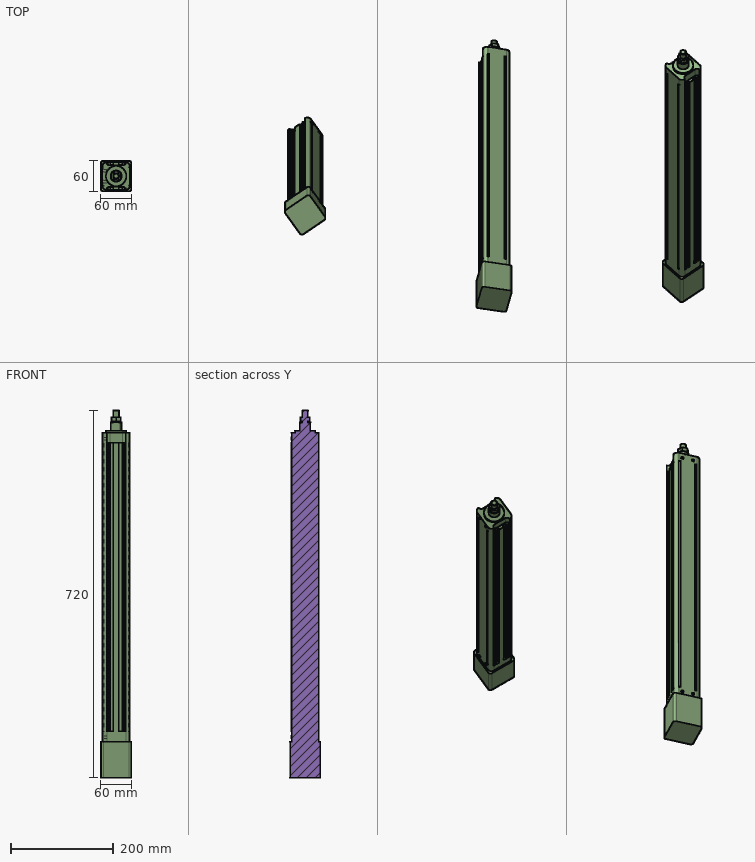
import cadquery as cq
import math

HOUSING_WIDTH = 60.0
HOUSING_HEIGHT = 71.0
HOUSING_CORNER_RADIUS = 5.0

TUBE_WIDTH = 54.0
TUBE_TOP = 676.0
TUBE_CORNER_RADIUS = 8.5
HALF_TUBE = TUBE_WIDTH / 2
HALF_FLAT = HALF_TUBE - TUBE_CORNER_RADIUS

COLLAR_RADIUS = 20.0
COLLAR_TOP = TUBE_TOP + 4.0
ROD_RADIUS = 11.0
ROD_TOP = 696.0
NUT_ACROSS_FLATS = 19.0
NUT_BOTTOM = 698.0
NUT_TOP = 706.5
THREAD_RADIUS = 6.0
THREAD_CHAMFER = 1.0
TOTAL_HEIGHT = 720.0

GROOVE_BOTTOM = 91.0
GROOVE_TOP = 656.5
GROOVE_LENGTH = GROOVE_TOP - GROOVE_BOTTOM
EDGE_GROOVE_INNER = 14.8
EDGE_GROOVE_DEPTH = 3.2
EDGE_GROOVE_FLOOR_WIDTH = 1.0
SENSOR_SLOT_INNER = 5.5
SENSOR_SLOT_WIDTH = 6.3
SENSOR_SLOT_DEPTH = 5.0

RECESS_DEPTH = 6.0

HOLE_DIAMETER = 5.0
HOLE_DEPTH = 8.0
HOLE_SPACING = 22.0
HOLE_LEVELS = (80.5, 665.0)


def square_bar(width, bottom, top, corner_radius):
    """Upright square bar with rounded vertical edges."""
    bar = cq.Workplane("XY").workplane(offset=bottom).rect(width, width).extrude(top - bottom)
    return bar.edges("|Z").fillet(corner_radius)


def cylinder(radius, bottom, top):
    """Upright cylinder on the Z axis."""
    return cq.Workplane("XY").workplane(offset=bottom).circle(radius).extrude(top - bottom)


def lock_nut():
    """Hexagonal nut with two corners on the Y axis."""
    corner_diameter = NUT_ACROSS_FLATS / math.cos(math.radians(30))
    nut = cq.Workplane("XY").workplane(offset=NUT_BOTTOM).polygon(6, corner_diameter)
    return nut.extrude(NUT_TOP - NUT_BOTTOM).rotate((0, 0, 0), (0, 0, 1), 30)


def threaded_end():
    """Plain stud in place of the thread, chamfered at the tip; it carries the nut."""
    return cylinder(THREAD_RADIUS, ROD_TOP, TOTAL_HEIGHT).faces(">Z").chamfer(THREAD_CHAMFER)


def edge_groove():
    """Groove beside the +X corner of the -Y face: sloped inner wall, upright outer wall."""
    floor_y = -HALF_TUBE + EDGE_GROOVE_DEPTH
    return (
        cq.Workplane("XY").workplane(offset=GROOVE_BOTTOM)
        .moveTo(EDGE_GROOVE_INNER, -HALF_TUBE)
        .lineTo(HALF_FLAT - EDGE_GROOVE_FLOOR_WIDTH, floor_y)
        .lineTo(HALF_FLAT, floor_y)
        .lineTo(HALF_FLAT, -HALF_TUBE)
        .close()
        .extrude(GROOVE_LENGTH)
    )


def sensor_slot():
    """Rectangular slot to the +X side of the middle of the -Y face."""
    return cq.Workplane("XY").box(
        SENSOR_SLOT_WIDTH, SENSOR_SLOT_DEPTH, GROOVE_LENGTH, centered=False
    ).translate((SENSOR_SLOT_INNER, -HALF_TUBE, GROOVE_BOTTOM))


def top_recess():
    """Recess at the top of the -Y face with a flat floor and concave side walls."""
    floor_y = -HALF_TUBE + RECESS_DEPTH
    half_floor = HALF_FLAT - RECESS_DEPTH
    wall_x = half_floor + RECESS_DEPTH * math.sin(math.radians(45))
    wall_y = floor_y - RECESS_DEPTH * (1 - math.cos(math.radians(45)))
    return (
        cq.Workplane("XY").workplane(offset=GROOVE_TOP)
        .moveTo(-half_floor, floor_y)
        .lineTo(half_floor, floor_y)
        .threePointArc((wall_x, wall_y), (HALF_FLAT, -HALF_TUBE))
        .lineTo(-HALF_FLAT, -HALF_TUBE)
        .threePointArc((-wall_x, wall_y), (-half_floor, floor_y))
        .close()
        .extrude(TUBE_TOP - GROOVE_TOP)
    )


def mounting_holes():
    """Blind holes bored into the -X face, two at each level."""
    centers = [(side * HOLE_SPACING / 2, level) for side in (-1, 1) for level in HOLE_LEVELS]
    return (
        cq.Workplane("YZ").workplane(offset=-HALF_TUBE)
        .pushPoints(centers).circle(HOLE_DIAMETER / 2).extrude(HOLE_DEPTH)
    )


def turned(cutter, angle):
    """Cutter turned about the Z axis, to reach another face of the tube."""
    return cutter.rotate((0, 0, 0), (0, 0, 1), angle)


def tube():
    """Tube with its grooves, slots, recesses and holes."""
    body = square_bar(TUBE_WIDTH, HOUSING_HEIGHT, TUBE_TOP, TUBE_CORNER_RADIUS)
    groove_pair = edge_groove().union(edge_groove().mirror("YZ"))
    slot_pair = sensor_slot().union(sensor_slot().mirror("YZ"))
    for angle in (0, 90, 180, 270):
        body = body.cut(turned(groove_pair, angle))
    for angle in (0, 180):
        body = body.cut(turned(slot_pair, angle))
        body = body.cut(turned(top_recess(), angle))
    return body.cut(mounting_holes())


result = (
    square_bar(HOUSING_WIDTH, 0, HOUSING_HEIGHT, HOUSING_CORNER_RADIUS)
    .union(tube())
    .union(cylinder(COLLAR_RADIUS, TUBE_TOP, COLLAR_TOP))
    .union(cylinder(ROD_RADIUS, COLLAR_TOP, ROD_TOP))
    .union(lock_nut())
    .union(threaded_end())
)